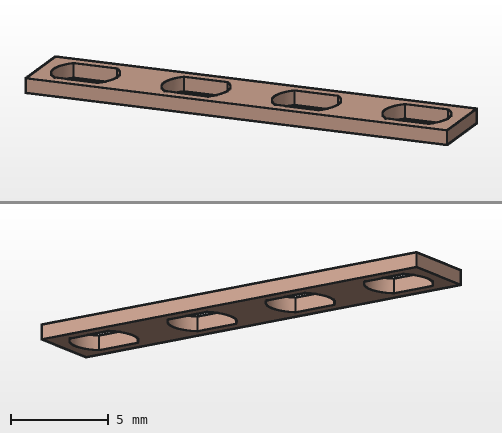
import cadquery as cq

length = 23.3
width = 4.0
thickness = 0.8

window_count = 4
window_pitch = 6.1
window_diameter = 3.55
window_height = 2.6


def make_strip():
    return cq.Workplane("XY").box(length, width, thickness)


def make_window(x_center):
    """Cutter for one window: a cylinder trimmed to the distance between the flats."""
    cylinder = cq.Workplane("XY").cylinder(thickness, window_diameter / 2)
    flats = cq.Workplane("XY").box(window_diameter, window_height, thickness)
    return cylinder.intersect(flats).translate((x_center, 0, 0))


result = make_strip()
for index in range(window_count):
    x_center = (index - (window_count - 1) / 2) * window_pitch
    result = result.cut(make_window(x_center))